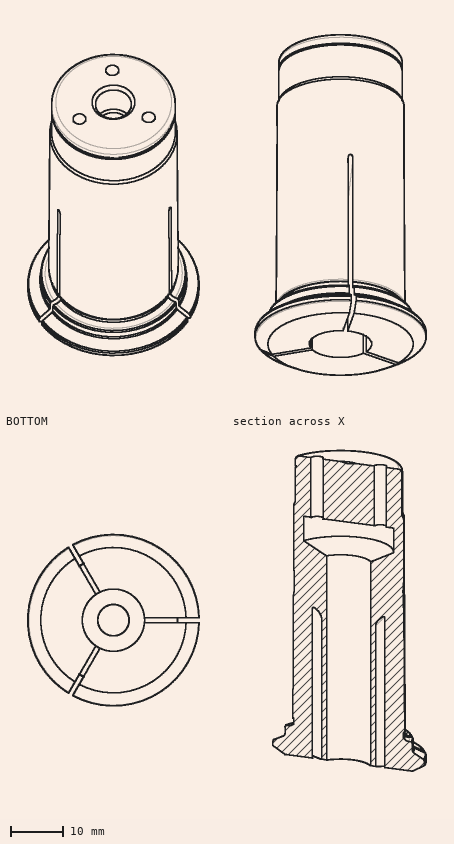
import cadquery as cq
import math


length = 60.5
flange_d = 33.0

rim_base_d = 27.95
rim_low_z = 1.4
rim_high_z = 2.7
rim_break_rise = 0.2
rim_break_width = 0.2
rim_top_break_drop = 0.35
collar_d = 27.95
collar_flare = 0.2
collar_flare_z = 3.9
collar_low_z = 4.25
collar_top_z = 6.0
collar_break_drop = 0.35
collar_break_width = 0.2

undercut_d = 24.45
undercut_foot_d = 26.4
undercut_low_z = 6.55
undercut_high_z = 7.5

body_low_d = 24.9
body_high_d = 24.5
body_low_z = 7.9
body_high_z = 50.6
body_lip_break = 0.09

head_d = 23.85
head_low_z = 51.25
head_edge_radius = 0.8
head_groove_depth = 0.2
head_groove_low_z = 58.0
head_groove_high_z = 58.4

port_mouth_d = 8.2
port_d = 6.9
port_depth = 7.25
port_cone_height = 0.5
through_d = 6.0
clamp_bore_d = 12.0
cavity_d = 20.4
cavity_roof_z = 48.4
cavity_floor_z = 43.55
cavity_floor_slope = 30.0

sector_count = 3
coolant_d = 2.5
coolant_circle_d = 15.35
slot_width = 0.9
slot_top_z = 34.5


def revolve_outline(outline):
    """Turn a closed (radius, height) outline around the Z axis."""
    return outline.revolve(360, (0, 0, 0), (0, 1, 0))


def fillet_middle(foot_r, foot_z, rise, run):
    """Middle of a concave arc that leaves the foot point horizontally and climbs inward."""
    radius = (rise**2 + run**2) / (2 * rise)
    half_sweep = math.asin(run / radius) / 2
    return (foot_r - radius * math.sin(half_sweep), foot_z + radius * (1 - math.cos(half_sweep)))


def make_outside():
    flange_r = flange_d / 2
    collar_r = collar_d / 2
    undercut_r = undercut_d / 2
    foot_r = undercut_foot_d / 2
    body_low_r = body_low_d / 2
    head_r = head_d / 2
    head_edge_z = length - head_edge_radius
    foot_middle = fillet_middle(
        foot_r, collar_top_z, undercut_low_z - collar_top_z, foot_r - undercut_r
    )
    head_edge_middle = (
        head_r - head_edge_radius * (1 - math.sqrt(0.5)),
        head_edge_z + head_edge_radius * math.sqrt(0.5),
    )
    outline = (
        cq.Workplane("XZ")
        .polyline([
            (0, 0),
            (rim_base_d / 2, 0),
            (flange_r - rim_break_width, rim_low_z),
            (flange_r, rim_low_z + rim_break_rise),
            (flange_r, rim_high_z - rim_top_break_drop),
            (flange_r - rim_break_width, rim_high_z),
            (collar_r + collar_flare, collar_flare_z),
            (collar_r, collar_low_z),
            (collar_r, collar_top_z - collar_break_drop),
            (collar_r - collar_break_width, collar_top_z),
            (foot_r, collar_top_z),
        ])
        .threePointArc(foot_middle, (undercut_r, undercut_low_z))
        .lineTo(undercut_r, undercut_high_z)
        .lineTo(body_low_r - body_lip_break, undercut_high_z)
        .lineTo(body_low_r, body_low_z)
        .lineTo(body_high_d / 2, body_high_z)
        .lineTo(head_r, head_low_z)
        .lineTo(head_r, head_groove_low_z)
        .lineTo(head_r - head_groove_depth, head_groove_high_z)
        .lineTo(head_r, head_groove_high_z)
        .lineTo(head_r, head_edge_z)
        .threePointArc(head_edge_middle, (head_r - head_edge_radius, length))
        .lineTo(0, length)
        .close()
    )
    return revolve_outline(outline)


def make_inside():
    """Clamping bore, annular coolant cavity and the stepped port through the head."""
    port_r = port_d / 2
    through_r = through_d / 2
    clamp_r = clamp_bore_d / 2
    cavity_r = cavity_d / 2
    port_chamfer = (port_mouth_d - port_d) / 2
    cavity_floor_drop = (cavity_r - clamp_r) * math.tan(math.radians(cavity_floor_slope))
    port_floor_z = length - port_depth
    outline = cq.Workplane("XZ").polyline([
        (0, 0),
        (clamp_r, 0),
        (clamp_r, cavity_floor_z - cavity_floor_drop),
        (cavity_r, cavity_floor_z),
        (cavity_r, cavity_roof_z),
        (through_r, cavity_roof_z),
        (through_r, port_floor_z),
        (port_r, port_floor_z + port_cone_height),
        (port_r, length - port_chamfer),
        (port_mouth_d / 2, length),
        (0, length),
    ]).close()
    return revolve_outline(outline)


def make_coolant_hole():
    """Hole from the top face down into the cavity."""
    hole = cq.Workplane("XY").workplane(offset=cavity_roof_z).center(coolant_circle_d / 2, 0)
    return hole.circle(coolant_d / 2).extrude(length - cavity_roof_z)


def make_slot():
    """Radial slot whose upper end is half-round and slopes down inward at 45 degrees."""
    body_r = body_high_d / 2
    crown = slot_width / 2 * math.sqrt(2)
    side_top_z = slot_top_z - crown
    plate = (
        cq.Workplane("XZ")
        .polyline([
            (0, 0),
            (flange_d, 0),
            (flange_d, side_top_z + flange_d - body_r),
            (0, side_top_z - body_r),
        ])
        .close()
        .extrude(slot_width / 2, both=True)
    )
    slope_start = cq.Vector(0, 0, side_top_z - body_r)
    slope = cq.Vector(1, 0, 1)
    round_end = cq.Solid.makeCylinder(slot_width / 2, flange_d * math.sqrt(2), slope_start, slope)
    return plate.union(cq.Workplane(obj=round_end))


result = make_outside().cut(make_inside())
coolant_hole = make_coolant_hole()
slot = make_slot()
for sector in range(sector_count):
    angle = sector * 360 / sector_count
    result = result.cut(coolant_hole.rotate((0, 0, 0), (0, 0, 1), angle))
    result = result.cut(slot.rotate((0, 0, 0), (0, 0, 1), angle))